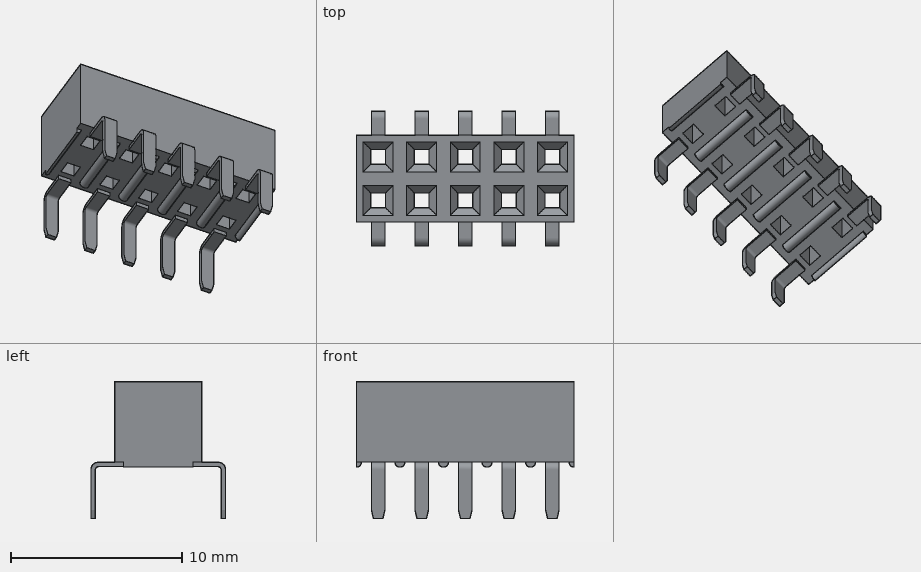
import cadquery as cq

PITCH = 2.54
COLUMNS = 5
ROWS = 2

BODY_LENGTH = COLUMNS * PITCH
BODY_WIDTH = ROWS * PITCH
BODY_HEIGHT = 4.7

SOCKET_SIZE = 0.85
LEAD_IN_SIZE = 1.75
LEAD_IN_DEPTH = (LEAD_IN_SIZE - SOCKET_SIZE) / 2

RIB_RADIUS = 0.3
RIB_LENGTH = 4.07

LEAD_SPAN = 7.87
LEAD_DROP = 3.3
LEAD_WIDTH = 0.8
LEAD_THICKNESS = 0.27
BEND_OUTER_RADIUS = 0.45
BEND_INNER_RADIUS = BEND_OUTER_RADIUS - LEAD_THICKNESS
TIP_WIDTH = 0.56
TIP_HEIGHT = 0.5

column_positions = [(i - (COLUMNS - 1) / 2) * PITCH for i in range(COLUMNS)]
row_positions = [(i - (ROWS - 1) / 2) * PITCH for i in range(ROWS)]
rib_positions = [i * PITCH - BODY_LENGTH / 2 for i in range(COLUMNS + 1)]


def make_housing():
    """Plain rectangular block."""
    return cq.Workplane("XY").box(BODY_LENGTH, BODY_WIDTH, BODY_HEIGHT, centered=(True, True, False))


def make_ribs():
    """Half-round ribs between the columns; the end ones are cut flush with the housing."""
    rib_centers = [(x, 0) for x in rib_positions]
    cylinders = (
        cq.Workplane("XZ")
        .pushPoints(rib_centers)
        .circle(RIB_RADIUS)
        .extrude(RIB_LENGTH / 2, both=True)
    )
    envelope = cq.Workplane("XY").box(
        BODY_LENGTH, RIB_LENGTH, 2 * RIB_RADIUS, centered=(True, True, True)
    )
    return cylinders.intersect(envelope)


def make_socket(x, y):
    """Cutting tool for one through socket with its tapered lead-in."""
    hole = (
        cq.Workplane("XY")
        .center(x, y)
        .rect(SOCKET_SIZE, SOCKET_SIZE)
        .extrude(BODY_HEIGHT)
    )
    lead_in = (
        cq.Workplane("XY", origin=(x, y, BODY_HEIGHT - LEAD_IN_DEPTH))
        .rect(SOCKET_SIZE, SOCKET_SIZE)
        .workplane(offset=LEAD_IN_DEPTH)
        .rect(LEAD_IN_SIZE, LEAD_IN_SIZE)
        .loft(ruled=True)
    )
    return hole.union(lead_in)


def make_lead():
    """One lead on the -Y side, centred on X = 0, with a tapered tip."""
    outer_y = -LEAD_SPAN / 2
    inner_y = outer_y + LEAD_THICKNESS
    root_y = -RIB_LENGTH / 2
    bent_strip = (
        cq.Workplane("YZ")
        .moveTo(root_y, 0)
        .lineTo(outer_y + BEND_OUTER_RADIUS, 0)
        .radiusArc((outer_y, -BEND_OUTER_RADIUS), -BEND_OUTER_RADIUS)
        .lineTo(outer_y, -LEAD_DROP)
        .lineTo(inner_y, -LEAD_DROP)
        .lineTo(inner_y, -BEND_OUTER_RADIUS)
        .radiusArc((outer_y + BEND_OUTER_RADIUS, -LEAD_THICKNESS), BEND_INNER_RADIUS)
        .lineTo(root_y, -LEAD_THICKNESS)
        .close()
        .extrude(LEAD_WIDTH / 2, both=True)
    )
    tapered_outline = (
        cq.Workplane("XZ")
        .polyline([
            (-LEAD_WIDTH / 2, 0),
            (LEAD_WIDTH / 2, 0),
            (LEAD_WIDTH / 2, TIP_HEIGHT - LEAD_DROP),
            (TIP_WIDTH / 2, -LEAD_DROP),
            (-TIP_WIDTH / 2, -LEAD_DROP),
            (-LEAD_WIDTH / 2, TIP_HEIGHT - LEAD_DROP),
        ])
        .close()
        .extrude(LEAD_SPAN / 2)
    )
    return bent_strip.intersect(tapered_outline)


result = make_housing().union(make_ribs())

for column_x in column_positions:
    for row_y in row_positions:
        result = result.cut(make_socket(column_x, row_y))

front_lead = make_lead()
back_lead = front_lead.mirror("XZ")
for column_x in column_positions:
    for lead in (front_lead, back_lead):
        result = result.union(lead.translate((column_x, 0, 0)))